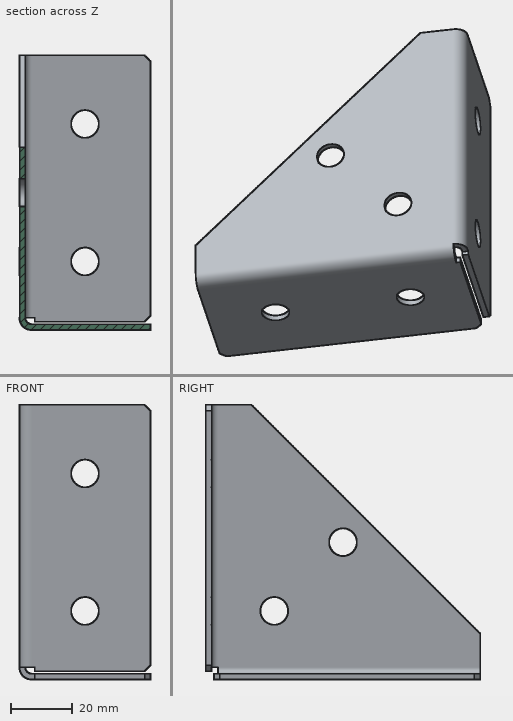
import cadquery as cq

width = 43.0
leg_length = 90.0
sheet = 2.0
inner_radius = 2.0
outer_radius = inner_radius + sheet
web_end = 15.0

corner_clearance = 0.7
flange_edge = sheet + corner_clearance
relief_x = 5.0
corner_chamfer = 2.0

hole_diameter = 9.0
hole_pitch = leg_length / 2
first_hole = leg_length / 4
flange_hole_x = width / 2


def make_web():
    """Side web with its sloping edge and two holes, between the bend lines."""
    outline = [
        (outer_radius, outer_radius),
        (leg_length, outer_radius),
        (leg_length, web_end),
        (web_end, leg_length),
        (outer_radius, leg_length),
    ]
    hole_positions = [
        (first_hole, first_hole),
        (leg_length / 2, leg_length / 2),
    ]
    web = cq.Workplane("YZ").polyline(outline).close().extrude(sheet)
    holes = cq.Workplane("YZ").pushPoints(hole_positions).circle(hole_diameter / 2).extrude(sheet)
    return web.cut(holes)


def make_bottom_flange():
    """Flat bottom flange with chamfered outer corners and a notch by the bend."""
    outline = [
        (outer_radius, outer_radius),
        (relief_x, outer_radius),
        (relief_x, flange_edge),
        (width - corner_chamfer, flange_edge),
        (width, flange_edge + corner_chamfer),
        (width, leg_length - corner_chamfer),
        (width - corner_chamfer, leg_length),
        (outer_radius, leg_length),
    ]
    hole_positions = [(flange_hole_x, first_hole), (flange_hole_x, first_hole + hole_pitch)]
    flange = cq.Workplane("XY").polyline(outline).close().extrude(sheet)
    holes = cq.Workplane("XY").pushPoints(hole_positions).circle(hole_diameter / 2).extrude(sheet)
    return flange.cut(holes)


def make_bottom_bend():
    """Quarter-round bend joining the web to the bottom flange."""
    bend_length = leg_length - outer_radius
    tube = (
        cq.Workplane("XZ", origin=(outer_radius, leg_length, outer_radius))
        .circle(outer_radius)
        .circle(inner_radius)
        .extrude(bend_length)
    )
    quadrant = cq.Workplane("XY").box(outer_radius, leg_length, outer_radius, centered=False)
    return tube.intersect(quadrant)


def swap_y_and_z(body):
    """Mirror a body across the plane Y = Z."""
    turned = body.rotate((0, 0, 0), (1, 0, 0), 90)
    return turned.mirror("XZ")


bottom = make_bottom_flange().union(make_bottom_bend())
front = swap_y_and_z(bottom)
result = make_web().union(bottom).union(front)